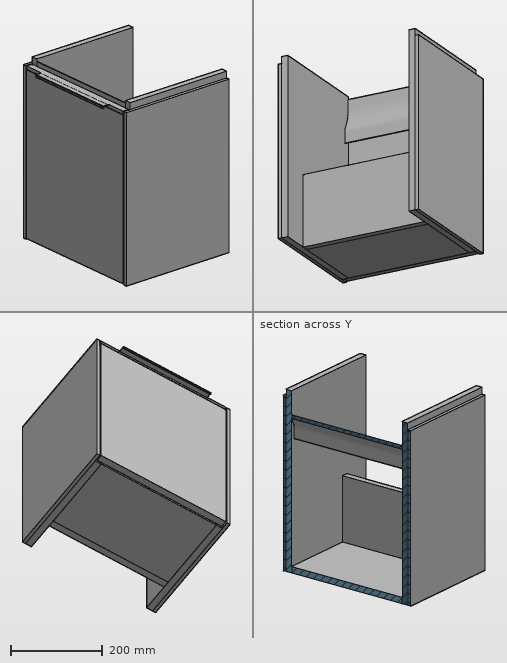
import cadquery as cq
import math

WIDTH = 351.0
DEPTH = 309.0
HEIGHT = 429.0

BOARD = 16.0
CLADDING = 8.0
CLADDING_HEIGHT = 412.5
CARCASS_DEPTH = 275.0
BACK_INSET = 69.5
BACK_HEIGHT = 171.5

DOOR_SIDE_GAP = 3.0
DOOR_REAR_GAP = 2.0
DOOR_BOTTOM_GAP = 2.0
STRIP_HEIGHT = 7.7
STRIP_GAP = 1.5
TAB_WIDTH = 230.0
TAB_THICKNESS = 2.0
TAB_ROOT_RADIUS = 3.0
LIP_HEIGHT = 6.0
LIP_THICKNESS = 3.0
LIP_BEVEL = 1.7
TAB_NOSE_BEVEL = 1.5

APRON_TOP = 422.5
APRON_THICKNESS = 3.0
APRON_TOP_FLAT = 25.7
APRON_FOOT_FLAT = 25.7
APRON_TOP_BEVEL = 1.5
APRON_BEND_ANGLE = 28.0
APRON_UPPER_RADIUS = 96.5
APRON_LOWER_RADIUS = 25.7

CARCASS_WIDTH = WIDTH - 2 * CLADDING
INNER_WIDTH = CARCASS_WIDTH - 2 * BOARD
CARCASS_FRONT = DEPTH - CARCASS_DEPTH
DOOR_REAR = CARCASS_FRONT - DOOR_REAR_GAP
DOOR_FRONT = DOOR_REAR - BOARD
DOOR_WIDTH = CARCASS_WIDTH - 2 * DOOR_SIDE_GAP
STRIP_BOTTOM = CLADDING_HEIGHT - STRIP_HEIGHT
BACK_FRONT = DEPTH - BACK_INSET - BOARD


def board(x_centre, width, y_front, y_rear, z_bottom, z_top):
    """Rectangular board, centred on x_centre."""
    return cq.Workplane("XY").box(
        width, y_rear - y_front, z_top - z_bottom, centered=(True, False, False)
    ).translate((x_centre, y_front, z_bottom))


def make_cladding(side):
    """Outer cladding; side is -1 for left and +1 for right."""
    x_centre = side * (WIDTH - CLADDING) / 2
    return board(x_centre, CLADDING, DOOR_FRONT, DEPTH, 0, CLADDING_HEIGHT)


def make_side_wall(side):
    """Carcass side wall; side is -1 for left and +1 for right."""
    x_centre = side * (CARCASS_WIDTH - BOARD) / 2
    return board(x_centre, BOARD, CARCASS_FRONT, DEPTH, 0, HEIGHT)


def make_floor():
    """Carcass floor, from the front edge to the back panel."""
    return board(0, INNER_WIDTH, CARCASS_FRONT, BACK_FRONT, 0, BOARD)


def make_back_panel():
    """Upright back panel between the side walls."""
    return board(0, INNER_WIDTH, BACK_FRONT, BACK_FRONT + BOARD, 0, BACK_HEIGHT)


def make_door():
    """Plain door below the handle strip."""
    return board(0, DOOR_WIDTH, DOOR_FRONT, DOOR_REAR, DOOR_BOTTOM_GAP, STRIP_BOTTOM - STRIP_GAP)


def make_handle():
    """Strip along the top of the door with a thin grip tab that ends in a lip."""
    strip = board(0, DOOR_WIDTH, DOOR_FRONT, DOOR_REAR, STRIP_BOTTOM, CLADDING_HEIGHT)
    tab = board(0, TAB_WIDTH, 0, DOOR_FRONT, CLADDING_HEIGHT - TAB_THICKNESS, CLADDING_HEIGHT)
    lip = board(0, TAB_WIDTH, 0, LIP_THICKNESS, CLADDING_HEIGHT - LIP_HEIGHT, CLADDING_HEIGHT)
    lip = lip.faces("<Z").edges(">Y").chamfer(LIP_BEVEL)
    grip = tab.union(lip).faces("<Y").edges(">Z").chamfer(TAB_NOSE_BEVEL)
    handle = strip.union(grip)
    for side in (-1, 1):
        handle = handle.union(make_tab_root(side))
    return handle


def make_tab_root(side):
    """Concave corner fill where the tab's edge meets the strip."""
    x_tab = side * TAB_WIDTH / 2
    x_out = x_tab + side * TAB_ROOT_RADIUS
    y_out = DOOR_FRONT - TAB_ROOT_RADIUS
    bow = TAB_ROOT_RADIUS * math.sqrt(0.5)
    return (
        cq.Workplane("XY", origin=(0, 0, CLADDING_HEIGHT - TAB_THICKNESS))
        .moveTo(x_tab, DOOR_FRONT)
        .lineTo(x_out, DOOR_FRONT)
        .threePointArc((x_out - side * bow, y_out + bow), (x_tab, y_out))
        .close()
        .extrude(TAB_THICKNESS)
    )


def bend_point(centre, radius, angle):
    """Point in the YZ plane on a bend, at an angle in degrees from +Y towards +Z."""
    turn = math.radians(angle)
    return (centre[0] + radius * math.cos(turn), centre[1] + radius * math.sin(turn))


def make_apron():
    """Sheet that drops from the front edge and bends back in a shallow S."""
    lean = APRON_BEND_ANGLE
    rear = CARCASS_FRONT + APRON_THICKNESS
    upper_z = APRON_TOP - APRON_TOP_FLAT
    upper_front = APRON_UPPER_RADIUS + APRON_THICKNESS
    lower_front = APRON_LOWER_RADIUS - APRON_THICKNESS
    upper = (rear + APRON_UPPER_RADIUS, upper_z)
    joint = bend_point(upper, APRON_UPPER_RADIUS, 180 + lean)
    lower = bend_point(joint, APRON_LOWER_RADIUS, 180 + lean)
    foot_z = lower[1] - APRON_FOOT_FLAT
    return (
        cq.Workplane("YZ", origin=(-INNER_WIDTH / 2, 0, 0))
        .moveTo(CARCASS_FRONT, APRON_TOP)
        .lineTo(rear - APRON_TOP_BEVEL, APRON_TOP)
        .lineTo(rear, APRON_TOP - APRON_TOP_BEVEL)
        .lineTo(rear, upper_z)
        .threePointArc(bend_point(upper, APRON_UPPER_RADIUS, 180 + lean / 2), joint)
        .threePointArc(
            bend_point(lower, APRON_LOWER_RADIUS, lean / 2),
            bend_point(lower, APRON_LOWER_RADIUS, 0),
        )
        .lineTo(lower[0] + APRON_LOWER_RADIUS, foot_z)
        .lineTo(lower[0] + lower_front, foot_z)
        .lineTo(lower[0] + lower_front, lower[1])
        .threePointArc(
            bend_point(lower, lower_front, lean / 2),
            bend_point(lower, lower_front, lean),
        )
        .threePointArc(
            bend_point(upper, upper_front, 180 + lean / 2),
            bend_point(upper, upper_front, 180),
        )
        .close()
        .extrude(INNER_WIDTH)
    )


bodies = [make_floor(), make_back_panel(), make_apron(), make_door(), make_handle()]
for side in (-1, 1):
    bodies += [make_cladding(side), make_side_wall(side)]

result = cq.Compound.makeCompound([body.val() for body in bodies])